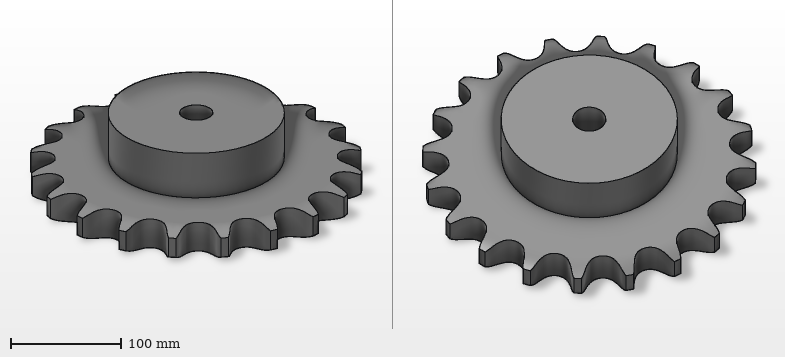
import cadquery as cq
import math

overall_size = 300.2
teeth = 20
chain_pitch = 44.5
roller_diameter = 28.0
plate_thickness = 29.5
face_radius = 131.2
bevel_radius = chain_pitch
hub_diameter = 160.0
total_height = 75.0
bore_diameter = 30.0

tooth_angle = 360.0 / teeth
pitch_radius = chain_pitch / (2 * math.sin(math.pi / teeth))
seat_radius = roller_diameter / 2
seat_angle = 35 + 60 / teeth
working_angle = 18 - 56 / teeth
topping_angle = 17 - 64 / teeth
working_offset = 0.8 * roller_diameter
topping_offset = 1.4 * roller_diameter
working_radius = seat_radius + working_offset
working_angle_rad = math.radians(working_angle)
topping_angle_rad = math.radians(topping_angle)
topping_radius = (
    working_offset * math.cos(working_angle_rad)
    + topping_offset * math.cos(topping_angle_rad)
    - working_radius
)
flat_length = (
    topping_offset * math.sin(topping_angle_rad)
    - working_offset * math.sin(working_angle_rad)
)


def step(point, distance, degrees):
    """Move a distance from a point in the given direction."""
    angle = math.radians(degrees)
    return (point[0] + distance * math.cos(angle), point[1] + distance * math.sin(angle))


def mirror(point):
    return (-point[0], point[1])


roller_center = (0, pitch_radius)
root = (0, pitch_radius - seat_radius)
flat_normal = working_angle - seat_angle
seat_end = step(roller_center, seat_radius, -seat_angle)
working_center = step(roller_center, working_offset, 180 - seat_angle)
working_middle = step(working_center, working_radius, -seat_angle + working_angle / 2)
flat_start = step(working_center, working_radius, flat_normal)
flat_end = step(flat_start, flat_length, flat_normal + 90)

topping_center = step(flat_end, topping_radius, flat_normal)
tip_rise = overall_size / 2 - topping_center[1]
tip_direction = 180 - math.degrees(math.asin(tip_rise / topping_radius))
tip_corner = step(topping_center, topping_radius, tip_direction)
topping_middle = step(topping_center, topping_radius, (180 + flat_normal + tip_direction) / 2)
outer_radius = math.hypot(*tip_corner)


def turned(point, degrees):
    """Rotate a point about the sprocket axis."""
    radius = math.hypot(*point)
    return step((0, 0), radius, math.degrees(math.atan2(point[1], point[0])) + degrees)


def toothed_blank():
    """Extruded tooth outline, drawn gap by gap clockwise around the axis."""
    outline = cq.Workplane("XY").moveTo(*mirror(tip_corner))
    for gap in range(teeth):
        turn = -gap * tooth_angle
        next_tip_start = turned(mirror(tip_corner), turn - tooth_angle)
        tip_middle = turned((0, outer_radius), turn - tooth_angle / 2)
        outline = (
            outline
            .threePointArc(turned(mirror(topping_middle), turn), turned(mirror(flat_end), turn))
            .lineTo(*turned(mirror(flat_start), turn))
            .threePointArc(turned(mirror(working_middle), turn), turned(mirror(seat_end), turn))
            .threePointArc(turned(root, turn), turned(seat_end, turn))
            .threePointArc(turned(working_middle, turn), turned(flat_start, turn))
            .lineTo(*turned(flat_end, turn))
            .threePointArc(turned(topping_middle, turn), turned(tip_corner, turn))
            .threePointArc(tip_middle, next_tip_start)
        )
    return outline.close().extrude(plate_thickness)


def bevel_envelope():
    """Disc whose rim curves in from both side faces, tangent to them."""
    bevel_width = outer_radius - face_radius
    bevel_depth = bevel_radius - math.sqrt(bevel_radius**2 - bevel_width**2)
    bevel_sweep = math.degrees(math.asin(bevel_width / bevel_radius))
    lower_middle = step((face_radius, bevel_radius), bevel_radius, -90 + bevel_sweep / 2)
    upper_middle = (lower_middle[0], plate_thickness - lower_middle[1])
    return (
        cq.Workplane("XZ")
        .lineTo(face_radius, 0)
        .threePointArc(lower_middle, (outer_radius, bevel_depth))
        .lineTo(outer_radius, plate_thickness - bevel_depth)
        .threePointArc(upper_middle, (face_radius, plate_thickness))
        .lineTo(0, plate_thickness)
        .close()
        .revolve(360, (0, 0), (0, 1))
    )


plate = toothed_blank().intersect(bevel_envelope())
hub = cq.Workplane("XY").circle(hub_diameter / 2).extrude(total_height)
bore = cq.Workplane("XY").circle(bore_diameter / 2).extrude(total_height)

result = plate.union(hub).cut(bore)